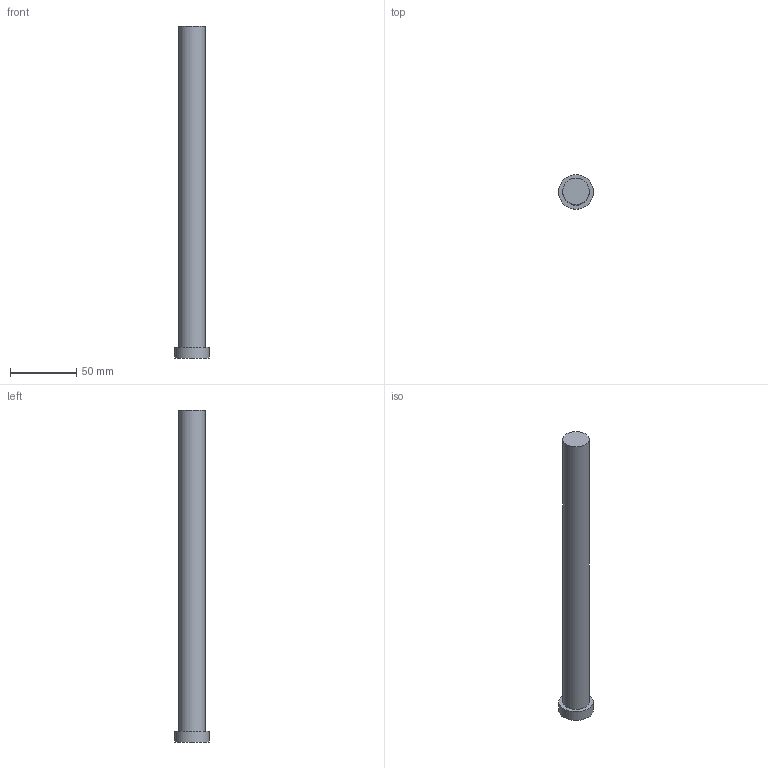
import cadquery as cq

total_length = 250.0
head_diameter = 26.0
head_height = 8.0
shaft_diameter = 20.0


def make_head():
    """Flat disc at the foot of the pin."""
    return cq.Workplane("XY").circle(head_diameter / 2).extrude(head_height)


def make_shaft():
    """Plain cylinder running the full length of the pin."""
    return cq.Workplane("XY").circle(shaft_diameter / 2).extrude(total_length)


result = make_head().union(make_shaft())